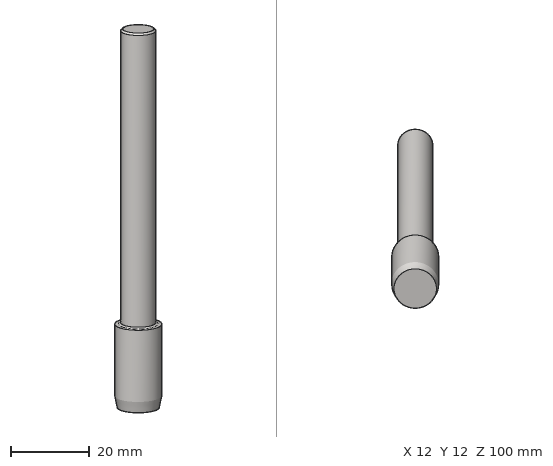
import cadquery as cq

total_length = 100.0
pin_radius = 4.5
pin_tip_chamfer = 0.5
shank_radius = 5.0
shank_top = 22.0

sleeve_radius = 6.0
sleeve_height = 22.4
shoulder_rise = 0.4
foot_height = 3.0
foot_radius = 5.4

pin_bottom = foot_height


def make_pin():
    """Round pin with a chamfered tip and a thicker shank at its lower end."""
    pin = (
        cq.Workplane("XY", origin=(0, 0, pin_bottom))
        .circle(pin_radius)
        .extrude(total_length - pin_bottom)
        .faces(">Z")
        .chamfer(pin_tip_chamfer)
    )
    shank = (
        cq.Workplane("XY", origin=(0, 0, pin_bottom))
        .circle(shank_radius)
        .extrude(shank_top - pin_bottom)
    )
    return pin.union(shank)


def make_sleeve():
    """Sleeve with a tapered closed foot, a straight wall and a conical shoulder that retains the shank."""
    half_section = (
        cq.Workplane("XZ")
        .lineTo(foot_radius, 0)
        .lineTo(sleeve_radius, foot_height)
        .lineTo(sleeve_radius, sleeve_height - shoulder_rise)
        .lineTo(pin_radius, sleeve_height)
        .lineTo(pin_radius, shank_top)
        .lineTo(shank_radius, shank_top)
        .lineTo(shank_radius, pin_bottom)
        .lineTo(0, pin_bottom)
        .close()
    )
    return half_section.revolve(360, (0, 0, 0), (0, 1, 0))


pin = make_pin()
sleeve = make_sleeve()
result = cq.Compound.makeCompound([pin.val(), sleeve.val()])